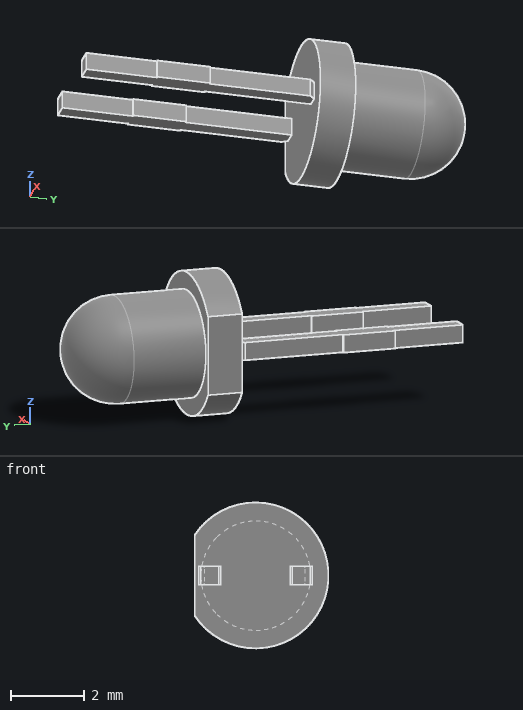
import cadquery as cq
import math


LENS_RADIUS = 1.5
LENS_STRAIGHT = 2.1

FLANGE_RADIUS = 2.0
FLANGE_THICKNESS = 1.0
FLAT_DISTANCE = 1.67

LEAD_PITCH = 2.5
LEAD_WIDTH = 0.5
LEAD_THICKNESS = 0.5
LEAD_LENGTH = 6.5
SHOULDER_START = 3.0
SHOULDER_LENGTH = 1.5
SHOULDER_STEP = 0.05
ROOT_LENGTH = 0.15
LEFT_ROOT_INSET = 0.10
RIGHT_ROOT_INSET = 0.15


def make_lens():
    """Straight cylinder closed by a hemisphere, revolved about the Y axis."""
    dome_base = FLANGE_THICKNESS + LENS_STRAIGHT
    dome_top = dome_base + LENS_RADIUS
    arc_offset = LENS_RADIUS * math.sqrt(0.5)
    return (
        cq.Workplane("XY")
        .moveTo(0, FLANGE_THICKNESS)
        .lineTo(LENS_RADIUS, FLANGE_THICKNESS)
        .lineTo(LENS_RADIUS, dome_base)
        .threePointArc((arc_offset, dome_base + arc_offset), (0, dome_top))
        .close()
        .revolve(360, (0, 0), (0, 1))
    )


def make_flange():
    """Round disc with its -X side cut off by the flat."""
    flat_half_height = math.sqrt(FLANGE_RADIUS**2 - FLAT_DISTANCE**2)
    return (
        cq.Workplane("XZ")
        .moveTo(-FLAT_DISTANCE, -flat_half_height)
        .threePointArc((FLANGE_RADIUS, 0), (-FLAT_DISTANCE, flat_half_height))
        .close()
        .extrude(-FLANGE_THICKNESS)
    )


def make_lead(side, root_inset):
    """Square lead with a wider shoulder; side is +1 or -1 along X.

    The outer side slopes inward over ROOT_LENGTH to meet the flange, and
    root_inset is how far it has moved in there.
    """
    center = side * LEAD_PITCH / 2
    inner = center - side * LEAD_WIDTH / 2
    outer = center + side * LEAD_WIDTH / 2
    shoulder_width = LEAD_WIDTH + 2 * SHOULDER_STEP
    shoulder_middle = -(SHOULDER_START + SHOULDER_LENGTH / 2)

    shank = (
        cq.Workplane("XY")
        .moveTo(inner, 0)
        .lineTo(outer - side * root_inset, 0)
        .lineTo(outer, -ROOT_LENGTH)
        .lineTo(outer, -LEAD_LENGTH)
        .lineTo(inner, -LEAD_LENGTH)
        .close()
        .extrude(LEAD_THICKNESS / 2, both=True)
    )
    shoulder = cq.Workplane("XY").box(shoulder_width, SHOULDER_LENGTH, LEAD_THICKNESS)
    return shank.union(shoulder.translate((center, shoulder_middle, 0)))


lens = make_lens()
flange = make_flange()
lead_roots = ((-1, LEFT_ROOT_INSET), (1, RIGHT_ROOT_INSET))
leads = [make_lead(side, root_inset) for side, root_inset in lead_roots]

result = cq.Compound.makeCompound([lens.val(), flange.val(), *[lead.val() for lead in leads]])